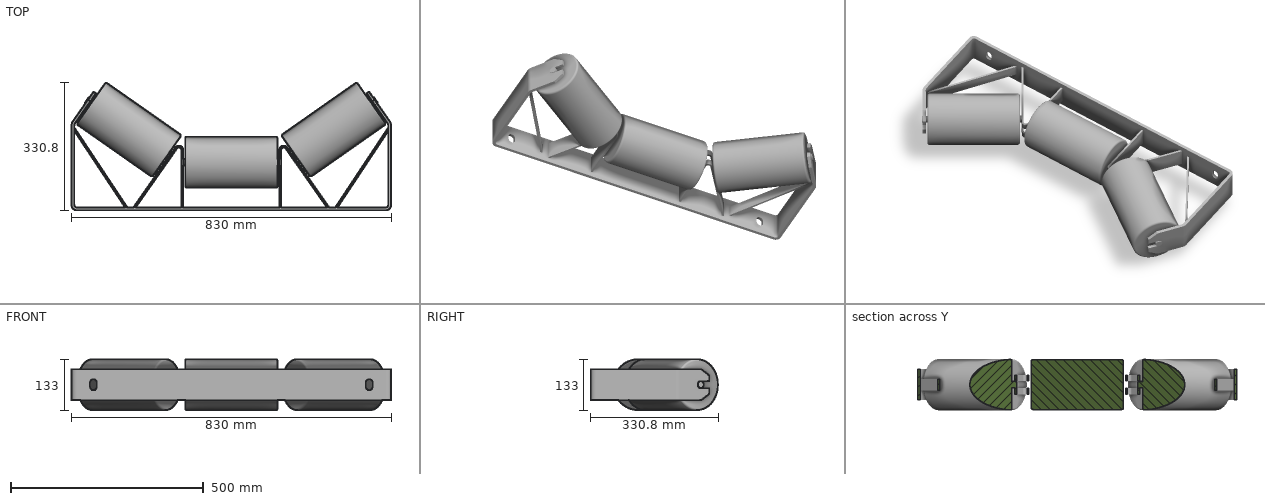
import cadquery as cq
import math


trough_angle = 35.0
roller_diameter = 133.0
roller_length = 240.0
roller_edge_radius = 5.0
shaft_diameter = 18.0
bracket_gap = 5.0
wing_gap = 4.0
shaft_protrusion = 2.0

overall_depth = 330.79
frame_length = 830.0
frame_height = 80.0
frame_thickness = 8.0
base_inner_bend = 6.0
wing_inner_bend = 10.0
wing_past_shaft = 28.0
wing_chamfer_length = 25.0
wing_chamfer_height = 16.0
bolt_hole_width = 18.0
bolt_hole_height = 28.0
bolt_hole_spacing = 716.0

bracket_height = 50.0
bracket_thickness = 5.0
bracket_inner_bend = 6.0
strut_height = 30.0
strut_thickness = 5.0
strut_wall_y = 210.0
strut_foot_x = 273.0

tilt = math.radians(trough_angle)
roller_radius = roller_diameter / 2
shaft_radius = shaft_diameter / 2
side_roller_x = 265.5
corner_rounding = roller_edge_radius * (math.sin(tilt) + math.cos(tilt) - 1)
side_roller_y = (
    overall_depth
    - roller_length / 2 * math.sin(tilt)
    - roller_radius * math.cos(tilt)
    + corner_rounding
)
middle_roller_y = 125.0
bracket_offset = roller_length / 2 + bracket_gap
wing_offset = roller_length / 2 + wing_gap


def side_point(along, across):
    """Point on the left roller, along its axis (outwards) and across it (away from the base)."""
    return (
        -side_roller_x - along * math.cos(tilt) + across * math.sin(tilt),
        side_roller_y + along * math.sin(tilt) + across * math.cos(tilt),
    )


def mirrored(point):
    return (-point[0], point[1])


def side_plane(along, across=0.0):
    """Plane facing out along the left roller axis, local x running away from the base."""
    return cq.Plane(
        origin=(*side_point(along, across), 0),
        xDir=(math.sin(tilt), math.cos(tilt), 0),
        normal=(-math.cos(tilt), math.sin(tilt), 0),
    )


def bent_strip(points, thickness, height, inner_bends):
    """Flat bar bent along a middle line given by its corner points, with one inner radius per bend."""
    vectors = [cq.Vector(x, y, 0) for x, y in points]
    path = cq.Wire.makePolygon(vectors)
    for corner, inner_bend in zip(vectors[1:-1], inner_bends):
        vertex = min(path.Vertices(), key=lambda v: (v.Center() - corner).Length)
        path = path.fillet(inner_bend + thickness / 2, [vertex])
    start = cq.Plane(origin=vectors[0], xDir=(0, 0, 1), normal=vectors[1] - vectors[0])
    return cq.Workplane(start).rect(height, thickness).sweep(cq.Workplane(path))


def slot_end(plane, depth):
    """Cutter for the round end of a slot that fits a shaft."""
    return cq.Workplane(plane).circle(shaft_radius).extrude(depth)


def make_frame():
    """Bent bar: a base, two upright walls and two tilted wings that carry the outer shafts."""
    half = frame_thickness / 2
    middle = wing_offset + half
    wall_x = -frame_length / 2 + half
    wing_tip = side_point(middle, wing_past_shaft)
    wall_across = (wall_x + side_roller_x + middle * math.cos(tilt)) / math.sin(tilt)
    wall_top = side_point(middle, wall_across)
    left_points = [wing_tip, wall_top, (wall_x, half)]
    right_points = [mirrored(point) for point in reversed(left_points)]
    inner_bends = [wing_inner_bend, base_inner_bend, base_inner_bend, wing_inner_bend]
    frame = bent_strip(left_points + right_points, frame_thickness, frame_height, inner_bends)

    wing_face = side_plane(wing_offset)
    slot = (
        cq.Workplane(wing_face)
        .center(wing_past_shaft / 2, 0)
        .rect(wing_past_shaft, shaft_diameter)
        .extrude(frame_thickness)
        .union(slot_end(wing_face, frame_thickness))
    )
    corner_z = frame_height / 2
    corners = cq.Workplane(wing_face)
    for side in (-1, 1):
        corners = corners.polyline(
            [
                (wing_past_shaft, side * corner_z),
                (wing_past_shaft - wing_chamfer_length, side * corner_z),
                (wing_past_shaft, side * (corner_z - wing_chamfer_height)),
            ]
        ).close()
    wing_cut = slot.union(corners.extrude(frame_thickness))
    frame = frame.cut(wing_cut).cut(wing_cut.mirror("YZ"))

    bolt_holes = (
        cq.Workplane("XZ")
        .pushPoints([(-bolt_hole_spacing / 2, 0), (bolt_hole_spacing / 2, 0)])
        .slot2D(bolt_hole_height, bolt_hole_width, 90)
        .extrude(-frame_thickness)
    )
    return frame.cut(bolt_holes)


def make_left_bracket():
    """Inverted V strip with a slot over its bend for the middle and side shafts."""
    half = bracket_thickness / 2
    middle = bracket_offset + half
    leg_x = -middle
    bend_across = (leg_x + side_roller_x - middle * math.cos(tilt)) / math.sin(tilt)
    bend = side_point(-middle, bend_across)
    foot_across = -(side_roller_y - middle * math.sin(tilt) - frame_thickness) / math.cos(tilt)
    foot_overrun = bracket_thickness
    slanted_foot = side_point(-middle, foot_across - foot_overrun)
    upright_foot = (leg_x, 0)
    bracket = bent_strip(
        [upright_foot, bend, slanted_foot], bracket_thickness, bracket_height, [bracket_inner_bend]
    )
    base = cq.Workplane("XY").box(frame_length, 2 * frame_thickness, frame_height)

    slot = bent_strip(
        [(leg_x, middle_roller_y), bend, side_point(-middle, 0)],
        bracket_thickness,
        shaft_diameter,
        [bracket_inner_bend],
    )
    upright_face = cq.Plane(origin=(-bracket_offset, middle_roller_y, 0), normal=(-1, 0, 0))
    slanted_face = side_plane(-bracket_offset - bracket_thickness)
    slot = slot.union(slot_end(upright_face, bracket_thickness))
    slot = slot.union(slot_end(slanted_face, bracket_thickness))
    return bracket.cut(base).cut(slot)


def make_left_strut():
    """Slanted flat bar from the frame wall to the frame base, trimmed flush at both ends."""
    wall_x = -frame_length / 2 + frame_thickness
    run = -strut_foot_x - wall_x
    drop = strut_wall_y - frame_thickness
    length = math.hypot(run, drop)
    half_at_wall = strut_thickness / 2 * length / run
    half_at_foot = strut_thickness / 2 * length / drop
    return (
        cq.Workplane("XY", origin=(0, 0, -strut_height / 2))
        .polyline(
            [
                (wall_x, strut_wall_y - half_at_wall),
                (wall_x, strut_wall_y + half_at_wall),
                (-strut_foot_x + half_at_foot, frame_thickness),
                (-strut_foot_x - half_at_foot, frame_thickness),
            ]
        )
        .close()
        .extrude(strut_height)
    )


def make_roller(plane, inner_reach, outer_reach):
    """Rounded roller about the plane's origin, axis along its normal, with a shaft through it.

    The reaches are the distances from the roller's middle to the two shaft tips.
    """
    body = (
        cq.Workplane(plane)
        .workplane(offset=-roller_length / 2)
        .circle(roller_radius)
        .extrude(roller_length)
        .edges("%CIRCLE")
        .fillet(roller_edge_radius)
    )
    shaft = (
        cq.Workplane(plane)
        .workplane(offset=-inner_reach)
        .circle(shaft_radius)
        .extrude(inner_reach + outer_reach)
    )
    return body.union(shaft)


bracket_reach = bracket_offset + bracket_thickness
wing_reach = wing_offset + frame_thickness + shaft_protrusion
middle_plane = cq.Plane(origin=(0, middle_roller_y, 0), xDir=(0, 1, 0), normal=(1, 0, 0))

frame = make_frame()
middle_roller = make_roller(middle_plane, bracket_reach, bracket_reach)
left_parts = [
    make_left_bracket(),
    make_left_strut(),
    make_roller(side_plane(0), bracket_reach, wing_reach),
]

bodies = [frame.solids().val(), middle_roller.solids().val()]
for part in left_parts:
    bodies.append(part.solids().val())
    bodies.append(part.mirror("YZ").solids().val())

result = cq.Compound.makeCompound(bodies)